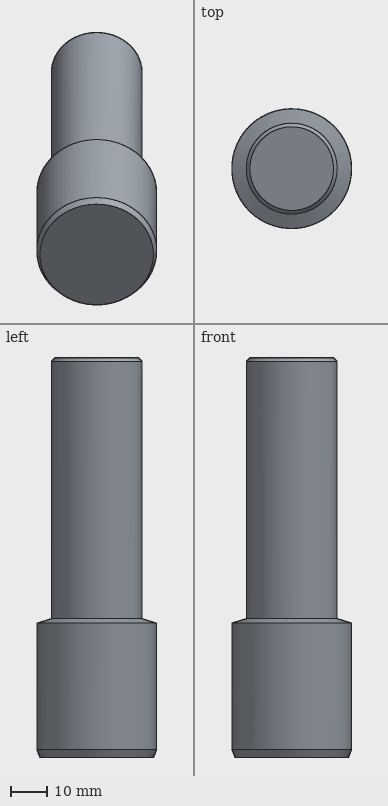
import cadquery as cq

total_length = 110.0
head_diameter = 33.0
shank_diameter = 25.0
head_cylinder_top = 37.0
shoulder_height = 1.25
head_chamfer_height = 2.2
head_chamfer_width = 0.9
shank_chamfer = 1.0

head_radius = head_diameter / 2
shank_radius = shank_diameter / 2
head_tip_radius = head_radius - head_chamfer_width
head_length = head_cylinder_top + shoulder_height
shank_length = total_length - head_length


def make_head():
    """Wide lower body: tapered tip, cylinder and a conical shoulder narrowing to the shank."""
    return (
        cq.Workplane("XZ")
        .lineTo(head_tip_radius, 0)
        .lineTo(head_radius, head_chamfer_height)
        .lineTo(head_radius, head_cylinder_top)
        .lineTo(shank_radius, head_length)
        .lineTo(0, head_length)
        .close()
        .revolve(360, (0, 0, 0), (0, 1, 0))
    )


def make_shank():
    """Slim cylinder standing on the head, with a chamfered free end."""
    return (
        cq.Workplane("XY")
        .workplane(offset=head_length)
        .circle(shank_radius)
        .extrude(shank_length)
        .faces(">Z")
        .chamfer(shank_chamfer)
    )


head = make_head()
shank = make_shank()

result = cq.Compound.makeCompound([head.val(), shank.val()])